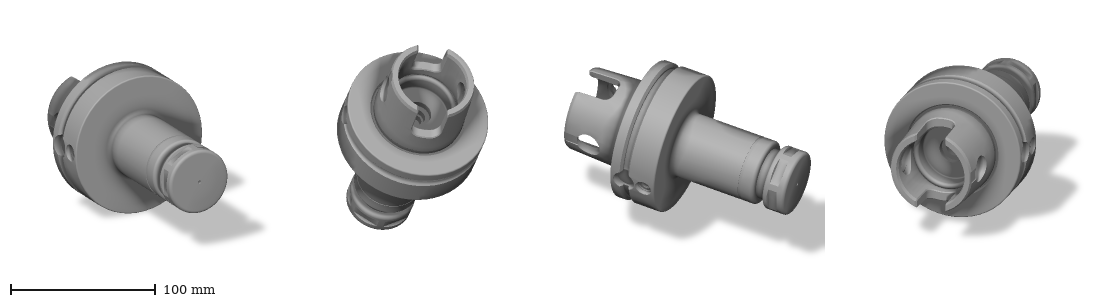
import cadquery as cq
import math

TOTAL_LENGTH = 165.0

TAPER_END = 43.2
TAPER_END_RADIUS = 31.8
TAPER_SLOPE = 1 / 20
SHANK_CHAMFER_LENGTH = 2.3
SHANK_CHAMFER_DEPTH = 1.0

RELIEF_NECK_START = 44.0
RELIEF_RADIUS = 31.4
RELIEF_OUTER_RADIUS = 33.0
RELIEF_CHAMFER = 1.0
RELIEF_DEPTH = 1.6

FLANGE_START = 45.2
FLANGE_END = 78.9
FLANGE_RADIUS = 100.0 / 2
FLANGE_FILLET = 1.0

GROOVE_START = 52.3
GROOVE_BOTTOM_START = 53.8
GROOVE_BOTTOM_END = 57.9
GROOVE_END = 59.5
GROOVE_WALL_RADIUS = 47.5
GROOVE_RADIUS = 46.4

BODY_RADIUS = 46.0 / 2
BODY_FILLET = 2.8
MARK_START = 130.2
MARK_WIDTH = 2.0
MARK_DEPTH = 0.3
BODY_END = 141.7
BODY_END_FILLET = 2.1
NECK_RADIUS = 36.0 / 2

NUT_START = 148.5
NUT_FILLET = 2.1
NUT_FLAT_COUNT = 6
NUT_FLAT_START = 152.1
NUT_FLAT_END = 159.9
NUT_FLAT_DISTANCE = 21.0
NUT_FLAT_WALL_RUN = 0.7

BORE_RADIUS = 24.1
BORE_MOUTH_RADIUS = 25.0
BORE_MOUTH_LENGTH = 2.5
CLAMP_GROOVE_RADIUS = 25.7
CLAMP_GROOVE_START = 32.5
CLAMP_SHOULDER_END = 34.2
LIP_END = 35.6
LIP_RADIUS = 2.0
CHAMBER_RADIUS = 21.1
CHAMBER_FLOOR = 45.2
CHAMBER_FILLET = 1.0

CENTRE_STEPS = [(18.5, 5.0), (12.0, 9.9), (9.0, 14.8)]
THROUGH_DIAMETER = 2.5

SLOT_WIDTH = 20.6
SLOT_DEPTH = 26.4
SLOT_CORNER_RADIUS = 6.0
SLOT_EDGE_CHAMFER = 0.7
SLOT_MOUTH_CHAMFER = 1.2

CROSS_HOLE_DIAMETER = 18.5
CROSS_HOLE_X = 19.1
COUNTERBORE_DIAMETER = 20.6
COUNTERBORE_X = 17.8
COUNTERBORE_REACH = 26.4
FLAT_WIDTH = 8.4
FLAT_DISTANCE = 29.0

POCKET_DIAMETER = 16.0
POCKET_X = 55.8
POCKET_FLOOR = 44.2

RIM_HOLE_X = 70.8
RIM_HOLE_STEPS = [(12.0, 3.6), (11.2, 4.8), (8.0, 6.6)]


def revolve_about_x(profile):
    """Turn a closed profile drawn in the XY plane, Y being the radius, about the tool axis."""
    return profile.close().revolve(360, (0, 0, 0), (1, 0, 0))


def cylinder_along_x(start, end, diameter):
    return cq.Workplane("YZ", origin=(start, 0, 0)).circle(diameter / 2).extrude(end - start)


def cylinder_along_y(x, y_start, y_end, diameter):
    """Cylinder at station x, between two Y positions on the tool's mid plane."""
    return cq.Workplane("XZ", origin=(x, y_start, 0)).circle(diameter / 2).extrude(y_start - y_end)


def taper_radius(x):
    return TAPER_END_RADIUS - (TAPER_END - x) * TAPER_SLOPE


def turned_housing():
    chamfer_radius = taper_radius(SHANK_CHAMFER_LENGTH)
    rim_centre_r = FLANGE_RADIUS - FLANGE_FILLET
    rim_run = FLANGE_FILLET * math.sqrt(0.5)
    first_rim_centre_x = FLANGE_START + FLANGE_FILLET
    last_rim_centre_x = FLANGE_END - FLANGE_FILLET
    relief_mouth_radius = RELIEF_OUTER_RADIUS + RELIEF_CHAMFER
    fillet_run = BODY_FILLET * math.sqrt(0.5)
    fillet_centre_x = FLANGE_END + BODY_FILLET
    fillet_centre_r = BODY_RADIUS + BODY_FILLET
    mark_radius = BODY_RADIUS - MARK_DEPTH
    end_fillet_centre_x = BODY_END - BODY_END_FILLET
    end_fillet_centre_r = BODY_RADIUS - BODY_END_FILLET
    end_fillet_run = BODY_END_FILLET * math.sqrt(0.5)
    profile = (
        cq.Workplane("XY")
        .moveTo(0, 0)
        .lineTo(0, chamfer_radius - SHANK_CHAMFER_DEPTH)
        .lineTo(SHANK_CHAMFER_LENGTH, chamfer_radius)
        .lineTo(TAPER_END, TAPER_END_RADIUS)
        .lineTo(RELIEF_NECK_START, RELIEF_RADIUS)
        .lineTo(FLANGE_START + RELIEF_DEPTH, RELIEF_RADIUS)
        .lineTo(FLANGE_START + RELIEF_DEPTH, RELIEF_OUTER_RADIUS)
        .lineTo(FLANGE_START + RELIEF_CHAMFER, RELIEF_OUTER_RADIUS)
        .lineTo(FLANGE_START, relief_mouth_radius)
        .lineTo(FLANGE_START, rim_centre_r)
        .threePointArc(
            (first_rim_centre_x - rim_run, rim_centre_r + rim_run),
            (first_rim_centre_x, FLANGE_RADIUS),
        )
        .lineTo(GROOVE_START, FLANGE_RADIUS)
        .lineTo(GROOVE_BOTTOM_START, GROOVE_WALL_RADIUS)
        .lineTo(GROOVE_BOTTOM_START, GROOVE_RADIUS)
        .lineTo(GROOVE_BOTTOM_END, GROOVE_RADIUS)
        .lineTo(GROOVE_BOTTOM_END, GROOVE_WALL_RADIUS)
        .lineTo(GROOVE_END, FLANGE_RADIUS)
        .lineTo(last_rim_centre_x, FLANGE_RADIUS)
        .threePointArc(
            (last_rim_centre_x + rim_run, rim_centre_r + rim_run),
            (FLANGE_END, rim_centre_r),
        )
        .lineTo(FLANGE_END, fillet_centre_r)
        .threePointArc(
            (fillet_centre_x - fillet_run, fillet_centre_r - fillet_run),
            (fillet_centre_x, BODY_RADIUS),
        )
        .lineTo(MARK_START, BODY_RADIUS)
        .lineTo(MARK_START, mark_radius)
        .lineTo(MARK_START + MARK_WIDTH, mark_radius)
        .lineTo(MARK_START + MARK_WIDTH, BODY_RADIUS)
        .lineTo(end_fillet_centre_x, BODY_RADIUS)
        .threePointArc(
            (end_fillet_centre_x + end_fillet_run, end_fillet_centre_r + end_fillet_run),
            (BODY_END, end_fillet_centre_r),
        )
        .lineTo(BODY_END, NECK_RADIUS)
        .lineTo(NUT_START, NECK_RADIUS)
        .lineTo(NUT_START, 0)
    )
    return revolve_about_x(profile)


def shank_bore():
    lip_centre_r = CHAMBER_RADIUS + LIP_RADIUS
    fillet_centre_x = CHAMBER_FLOOR - CHAMBER_FILLET
    fillet_centre_r = CHAMBER_RADIUS - CHAMBER_FILLET
    fillet_run = CHAMBER_FILLET * math.sqrt(0.5)
    profile = (
        cq.Workplane("XY")
        .moveTo(0, 0)
        .lineTo(0, BORE_MOUTH_RADIUS)
        .lineTo(BORE_MOUTH_LENGTH, BORE_RADIUS)
        .lineTo(CLAMP_GROOVE_START, BORE_RADIUS)
        .lineTo(CLAMP_SHOULDER_END, CLAMP_GROOVE_RADIUS)
        .lineTo(LIP_END, CLAMP_GROOVE_RADIUS)
        .lineTo(LIP_END, lip_centre_r + LIP_RADIUS)
        .threePointArc((LIP_END - LIP_RADIUS, lip_centre_r), (LIP_END, CHAMBER_RADIUS))
        .lineTo(fillet_centre_x, CHAMBER_RADIUS)
        .threePointArc(
            (fillet_centre_x + fillet_run, fillet_centre_r + fillet_run),
            (CHAMBER_FLOOR, fillet_centre_r),
        )
        .lineTo(CHAMBER_FLOOR, 0)
    )
    bore = revolve_about_x(profile)
    for diameter, depth in CENTRE_STEPS:
        bore = bore.union(cylinder_along_x(CHAMBER_FLOOR, CHAMBER_FLOOR + depth, diameter))
    return bore


def through_hole():
    return cylinder_along_x(0, TOTAL_LENGTH, THROUGH_DIAMETER)


def drive_slot():
    """Slot through both walls of the shank, open at the shank end."""
    height = 2 * FLANGE_RADIUS
    return (
        cq.Workplane("XY")
        .box(SLOT_DEPTH, SLOT_WIDTH, height, centered=(False, True, True))
        .edges("|Z and >X")
        .fillet(SLOT_CORNER_RADIUS)
    )


def cut_drive_slot(housing):
    """Cut the slot and break every edge of its walls."""
    slotted = housing.cut(drive_slot())
    half_width = SLOT_WIDTH / 2
    reach = TAPER_END_RADIUS
    margin = 0.08
    walls = cq.selectors.BoxSelector(
        (-margin, -half_width - margin, -reach),
        (SLOT_DEPTH + margin, half_width + margin, reach),
        boundingbox=True,
    )
    return slotted.edges(walls).edges("not |Z").chamfer(SLOT_EDGE_CHAMFER)


def slot_mouth():
    """Flare of the drive slot at the shank end."""
    half_width = SLOT_WIDTH / 2
    flared_half_width = half_width + SLOT_MOUTH_CHAMFER
    return (
        cq.Workplane("XY")
        .moveTo(0, -flared_half_width)
        .lineTo(SLOT_MOUTH_CHAMFER, -half_width)
        .lineTo(SLOT_MOUTH_CHAMFER, half_width)
        .lineTo(0, flared_half_width)
        .close()
        .extrude(FLANGE_RADIUS, both=True)
    )


def cross_hole():
    """Hole through both shank walls, with a wider counterbore sunk from inside the bore."""
    hole = cylinder_along_y(CROSS_HOLE_X, FLANGE_RADIUS, -FLANGE_RADIUS, CROSS_HOLE_DIAMETER)
    counterbore = cylinder_along_y(
        COUNTERBORE_X, COUNTERBORE_REACH, -COUNTERBORE_REACH, COUNTERBORE_DIAMETER
    )
    return hole.union(counterbore)


def lead_in_flats():
    """Shallow flats on both sides, from the shank end to the cross hole."""
    depth = FLANGE_RADIUS - FLAT_DISTANCE
    flat = cq.Workplane("XY").box(CROSS_HOLE_X, depth, FLAT_WIDTH, centered=(False, False, True))
    near_flat = flat.translate((0, -FLANGE_RADIUS, 0))
    return near_flat.union(near_flat.mirror("XZ"))


def rim_pockets():
    """Flat-bottomed round pockets on opposite sides of the flange rim."""
    near_pocket = cylinder_along_y(POCKET_X, -POCKET_FLOOR, -FLANGE_RADIUS, POCKET_DIAMETER)
    return near_pocket.union(near_pocket.mirror("XZ"))


def rim_hole():
    """Stepped blind hole on the -Y side of the flange rim."""
    hole = cq.Workplane("XY")
    for diameter, depth in RIM_HOLE_STEPS:
        step = cylinder_along_y(RIM_HOLE_X, -FLANGE_RADIUS + depth, -FLANGE_RADIUS, diameter)
        hole = hole.union(step)
    return hole


def make_housing():
    housing = cut_drive_slot(turned_housing().cut(shank_bore()))
    for cutter in (slot_mouth(), cross_hole(), lead_in_flats(), rim_pockets(), rim_hole(), through_hole()):
        housing = housing.cut(cutter)
    return housing


def nut_flat_cutter():
    """Wrench flat with sloping end walls, on the -Y side of the nut."""
    return (
        cq.Workplane("XY")
        .moveTo(NUT_FLAT_START, -BODY_RADIUS)
        .lineTo(NUT_FLAT_START + NUT_FLAT_WALL_RUN, -NUT_FLAT_DISTANCE)
        .lineTo(NUT_FLAT_END - NUT_FLAT_WALL_RUN, -NUT_FLAT_DISTANCE)
        .lineTo(NUT_FLAT_END, -BODY_RADIUS)
        .close()
        .extrude(BODY_RADIUS, both=True)
    )


def make_nut():
    blank = cylinder_along_x(NUT_START, TOTAL_LENGTH, 2 * BODY_RADIUS)
    nut = blank.faces("<X or >X").edges().fillet(NUT_FILLET)
    for index in range(NUT_FLAT_COUNT):
        angle = index * 360 / NUT_FLAT_COUNT
        nut = nut.cut(nut_flat_cutter().rotate((0, 0, 0), (1, 0, 0), angle))
    return nut.cut(through_hole())


housing = make_housing()
nut = make_nut()

result = cq.Compound.makeCompound([housing.val(), nut.val()])